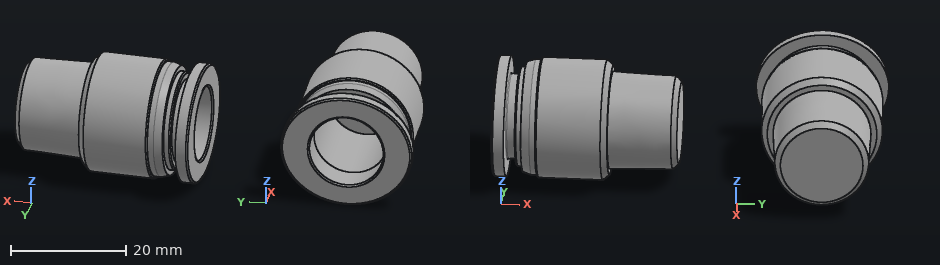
import cadquery as cq

total_length = 32.0

flange_width = 23.0
flange_height = 20.55
flange_thickness = 2.18
flange_chamfer = 0.3
neck_diameter = 14.8
neck_root_fillet = 0.2
bore_diameter = 13.0
bore_chamfer = 0.3
button_end = 5.12

collar_start = 3.85
collar_diameter = 17.3
collar_chamfer = 0.25
cone_start = 5.0
cone_start_diameter = 19.25
cone_end = 6.5
shoulder_diameter = 20.2
barrel_start = 7.52
barrel_diameter = 21.0
barrel_front_chamfer = 0.25
barrel_end = 20.0
barrel_bevel_length = 1.1
barrel_bevel_depth = 1.0
spigot_root_diameter = 17.0
spigot_taper = 1 / 16
spigot_chamfer = 1.0
bore_end = barrel_end


def cylinder(diameter, start, end):
    """Round bar along X between two positions."""
    return cq.Workplane("YZ", origin=(start, 0, 0)).circle(diameter / 2).extrude(end - start)


def make_button():
    flange = (
        cq.Workplane("YZ")
        .ellipse(flange_width / 2, flange_height / 2)
        .extrude(flange_thickness)
        .faces("<X")
        .edges()
        .chamfer(flange_chamfer)
    )
    button = flange.union(cylinder(neck_diameter, flange_thickness, button_end))
    neck_root = cq.selectors.BoxSelector(
        (flange_thickness - neck_root_fillet, -neck_diameter, -neck_diameter),
        (flange_thickness + neck_root_fillet, neck_diameter, neck_diameter),
    )
    button = button.edges(neck_root).edges("%CIRCLE").fillet(neck_root_fillet)
    button = button.cut(cylinder(bore_diameter, 0, button_end))
    return button.faces("<X").edges("%CIRCLE").chamfer(bore_chamfer)


def make_housing():
    collar_radius = collar_diameter / 2
    shoulder_radius = shoulder_diameter / 2
    barrel_radius = barrel_diameter / 2
    spigot_chamfer_start = total_length - spigot_chamfer
    spigot_length = spigot_chamfer_start - barrel_end
    spigot_end_radius = (spigot_root_diameter - spigot_taper * spigot_length) / 2
    half_profile = [
        (collar_start, 0),
        (collar_start, collar_radius - collar_chamfer),
        (collar_start + collar_chamfer, collar_radius),
        (cone_start, collar_radius),
        (cone_start, cone_start_diameter / 2),
        (cone_end, shoulder_radius),
        (barrel_start, shoulder_radius),
        (barrel_start, barrel_radius - barrel_front_chamfer),
        (barrel_start + barrel_front_chamfer, barrel_radius),
        (barrel_end - barrel_bevel_length, barrel_radius),
        (barrel_end, barrel_radius - barrel_bevel_depth),
        (barrel_end, spigot_root_diameter / 2),
        (spigot_chamfer_start, spigot_end_radius),
        (total_length, spigot_end_radius - spigot_chamfer),
        (total_length, 0),
    ]
    housing = cq.Workplane("XY").polyline(half_profile).close().revolve(360, (0, 0, 0), (1, 0, 0))
    housing = housing.cut(cylinder(neck_diameter, collar_start, button_end))
    return housing.cut(cylinder(bore_diameter, button_end, bore_end))


button = make_button()
housing = make_housing()
result = cq.Compound.makeCompound([button.val(), housing.val()])